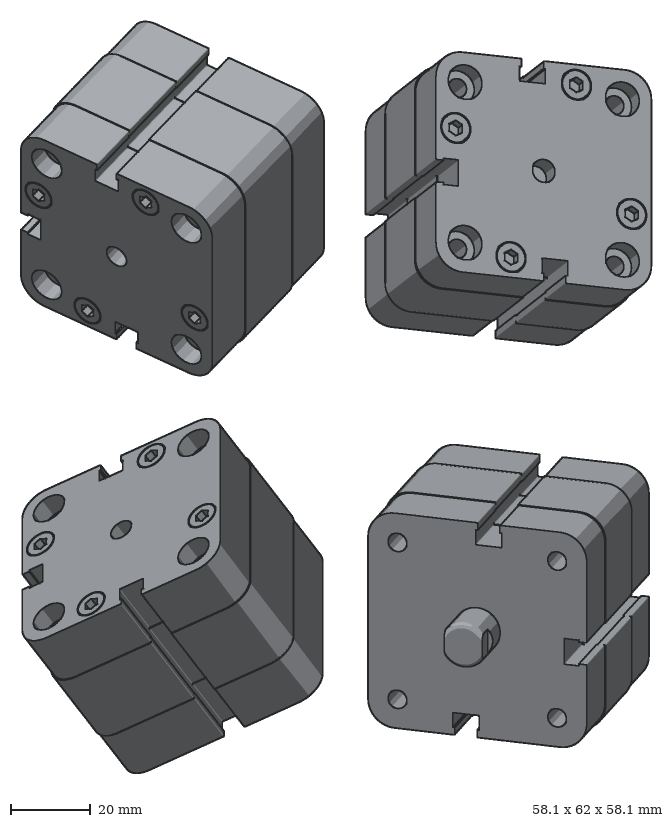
import cadquery as cq

total_length = 62.0
cap_length = 14.65
rod_length = 11.55
body_length = total_length - rod_length
barrel_length = body_length - 2 * cap_length
rear_y = -total_length / 2
front_y = rear_y + body_length

barrel_width = 58.1
cap_width = 57.6
corner_radius = 7.05

slot_angles = [0, 90, 180]
slot_offset = -3.0
slot_mouth_width = 5.8
slot_inner_width = 6.9
slot_lip_depth = 2.05
slot_depth = 5.95
slot_fillet_radius = 0.3

mount_offset = 21.0
mount_diameter = 4.9
mount_counterbore_diameter = 9.0
mount_counterbore_depth = 5.5

screw_x = 8.75
screw_z = 23.5
screw_pocket_diameter = 8.0
screw_head_diameter = 7.5
screw_gap_depth = 1.85
hex_across_flats = 3.5
hex_depth = 2.8

center_hole_diameter = 6.0
center_hole_depth = 6.2

rod_diameter = 12.0
rod_end_fillet = 1.35
flat_width = 10.0
flat_length = 4.45


def section(y):
    """Sketch plane at the given Y, with +X right and +Z up; negative extrusions go towards +Y."""
    return cq.Workplane(cq.Plane(origin=(0, y, 0), xDir=(1, 0, 0), normal=(0, -1, 0)))


def square_block(width, y, length):
    block = section(y).rect(width, width).extrude(-length)
    return block.edges("|Y").fillet(corner_radius)


def slot_cutter(width):
    """T-slot with rounded mouth edges and floor corners, for the +Z face of a block."""
    top = width / 2
    mouth_left = slot_offset - slot_mouth_width / 2
    mouth_right = slot_offset + slot_mouth_width / 2
    inner_left = slot_offset - slot_inner_width / 2
    inner_right = slot_offset + slot_inner_width / 2
    lip_z = top - slot_lip_depth
    floor_z = top - slot_depth
    r = slot_fillet_radius
    outline = (
        section(rear_y)
        .moveTo(mouth_right + r, top)
        .radiusArc((mouth_right, top - r), -r)
        .lineTo(mouth_right, lip_z)
        .lineTo(inner_right, lip_z)
        .lineTo(inner_right, floor_z + r)
        .radiusArc((inner_right - r, floor_z), r)
        .lineTo(inner_left + r, floor_z)
        .radiusArc((inner_left, floor_z + r), r)
        .lineTo(inner_left, lip_z)
        .lineTo(mouth_left, lip_z)
        .lineTo(mouth_left, top - r)
        .radiusArc((mouth_left - r, top), -r)
        .close()
    )
    return outline.extrude(-body_length)


def slotted_block(width, y, length):
    block = square_block(width, y, length)
    for angle in slot_angles:
        block = block.cut(slot_cutter(width).rotate((0, 0, 0), (0, -1, 0), angle))
    return block


def mounting_holes():
    centers = [(x, z) for x in (-mount_offset, mount_offset) for z in (-mount_offset, mount_offset)]
    holes = section(rear_y).pushPoints(centers).circle(mount_diameter / 2).extrude(-body_length)
    counterbores = (
        section(rear_y)
        .pushPoints(centers)
        .circle(mount_counterbore_diameter / 2)
        .extrude(-mount_counterbore_depth)
    )
    return holes.union(counterbores)


def screw_recesses():
    """Ring gaps around the four screw heads, and their hexagon sockets."""
    centers = [(screw_x, screw_z), (-screw_z, screw_x), (-screw_x, -screw_z), (screw_z, -screw_x)]
    gaps = (
        section(rear_y)
        .pushPoints(centers)
        .circle(screw_pocket_diameter / 2)
        .circle(screw_head_diameter / 2)
        .extrude(-screw_gap_depth)
    )
    sockets = (
        section(rear_y)
        .pushPoints(centers)
        .polygon(6, hex_across_flats, circumscribed=True)
        .extrude(-hex_depth)
    )
    return gaps.union(sockets)


def piston_rod():
    radius = rod_diameter / 2
    end_y = front_y + rod_length
    rod = section(front_y).circle(radius).extrude(-rod_length)
    rod = rod.faces(">Y").edges().fillet(rod_end_fillet)
    flat_depth = (rod_diameter - flat_width) / 2
    shoulder_y = end_y - flat_length
    for side in (-1, 1):
        flat = (
            cq.Workplane("XY")
            .moveTo(side * flat_width / 2, end_y)
            .lineTo(side * flat_width / 2, shoulder_y)
            .lineTo(side * radius, shoulder_y - flat_depth)
            .lineTo(side * radius, end_y)
            .close()
            .extrude(radius, both=True)
        )
        rod = rod.cut(flat)
    return rod


barrel_y = rear_y + cap_length
rear_cap = slotted_block(cap_width, rear_y, cap_length)
barrel = slotted_block(barrel_width, barrel_y, barrel_length)
front_cap = slotted_block(cap_width, barrel_y + barrel_length, cap_length)
center_hole = section(rear_y).circle(center_hole_diameter / 2).extrude(-center_hole_depth)

result = (
    rear_cap.union(barrel)
    .union(front_cap)
    .union(piston_rod())
    .cut(mounting_holes())
    .cut(screw_recesses())
    .cut(center_hole)
)